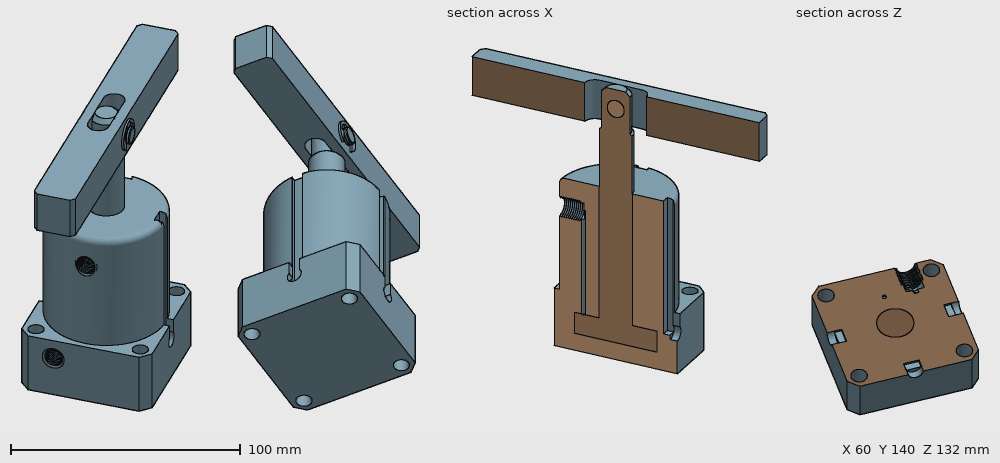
import cadquery as cq
import math


BASE_SIDE = 60.0
BASE_HEIGHT = 28.3
BASE_CORNER = 4.5
MOUNT_SPACING = 48.0
MOUNT_DIAMETER = 7.0
BARREL_DIAMETER = 55.0
BARREL_TOP = 83.0
BARREL_FILLET = 3.0

SLOT_ANGLES = (0, 90, 180)
SLOT_MOUTH_WIDTH = 5.2
SLOT_INNER_WIDTH = 6.9
SLOT_LIP_RADIUS = 26.6
SLOT_FLOOR_RADIUS = 23.4
SLOT_BOTTOM_Z = 18.2
SLOT_ENTRY_Z = 19.6

PORT_MAJOR_DIAMETER = 10.1
PORT_MINOR_DIAMETER = 8.1
PORT_BOTTOM_Y = -15.7
THREAD_PITCH = 1.0
THREAD_GROOVES = 11
LOWER_PORT_X = -14.0
LOWER_PORT_Z = 19.0
UPPER_PORT_Z = 68.7
PILOT_DIAMETER = 2.0
PILOT_DEPTH = 2.0
CHANNEL_DIAMETER = 1.5
CHANNEL_TOP = 69.3

PISTON_DIAMETER = 40.0
PISTON_HEIGHT = 10.0
PISTON_TOP = 18.5
ROD_DIAMETER = 16.0
SHOULDER_CHAMFER = 1.0
TONGUE_DIAMETER = ROD_DIAMETER - 2 * SHOULDER_CHAMFER
TONGUE_CHAMFER = 2.1

LEVER_LENGTH = 140.0
LEVER_SIDE = 19.0
LEVER_TOP = 132.0
LEVER_CORNER = 2.0
LEVER_SLOT_LENGTH = 30.0
LEVER_SLOT_WIDTH = 9.5
LEVER_BOTTOM = LEVER_TOP - LEVER_SIDE
SHOULDER_GAP = 1.0
SHOULDER_Z = LEVER_BOTTOM - SHOULDER_GAP
TONGUE_TOP = LEVER_TOP

PIVOT_Z = LEVER_TOP - LEVER_SIDE / 2
PIN_DIAMETER = 8.0
PIN_LENGTH = 24.0
PIN_CHAMFER = 0.4
CLIP_THICKNESS = 1.0
CLIP_DIAMETER = 14.1
CLIP_BORE = 7.3
CLIP_RELIEF_RADIUS = 5.6
RELIEF_START_ANGLE = 5
RELIEF_END_ANGLE = 71


def x_cylinder(diameter, x_start, length, z):
    """Cylinder along +X starting at x_start."""
    return (
        cq.Workplane("YZ", origin=(x_start, 0, z))
        .circle(diameter / 2)
        .extrude(length)
    )


def slot_box(x_near, x_far, width, z_bottom):
    """Box on the +X side from z_bottom to the barrel top, between two distances from the axis."""
    length = x_far - x_near
    return (
        cq.Workplane("XY", origin=(x_near + length / 2, 0, z_bottom))
        .rect(length, width)
        .extrude(BARREL_TOP - z_bottom)
    )


def t_slot(angle):
    """T-slot cutter: wide inner channel, narrow mouth and round entry hole in the base."""
    base_face = BASE_SIDE / 2
    inner = slot_box(SLOT_FLOOR_RADIUS, SLOT_LIP_RADIUS, SLOT_INNER_WIDTH, SLOT_BOTTOM_Z)
    mouth = slot_box(SLOT_LIP_RADIUS, base_face, SLOT_MOUTH_WIDTH, SLOT_ENTRY_Z)
    entry = x_cylinder(SLOT_INNER_WIDTH, SLOT_LIP_RADIUS, base_face - SLOT_LIP_RADIUS, z=SLOT_ENTRY_Z)
    return inner.union(mouth).union(entry).rotate((0, 0, 0), (0, 0, 1), angle)


def threaded_port(x, z, mouth_y):
    """Port cutter along +Y: V-shaped thread grooves from the mouth down to a flat bottom."""
    minor = PORT_MINOR_DIAMETER / 2
    major = PORT_MAJOR_DIAMETER / 2
    profile = (
        cq.Workplane("XY", origin=(x, 0, z))
        .moveTo(0, mouth_y)
        .lineTo(major, mouth_y)
        .lineTo(minor, mouth_y + THREAD_PITCH / 2)
    )
    for groove in range(1, THREAD_GROOVES):
        groove_y = mouth_y + groove * THREAD_PITCH
        profile = profile.lineTo(major, groove_y)
        profile = profile.lineTo(minor, groove_y + THREAD_PITCH / 2)
    profile = profile.lineTo(minor, PORT_BOTTOM_Y).lineTo(0, PORT_BOTTOM_Y).close()
    return profile.revolve(360, (0, 0, 0), (0, 1, 0))


def make_housing():
    base = (
        cq.Workplane("XY")
        .rect(BASE_SIDE, BASE_SIDE)
        .extrude(BASE_HEIGHT)
        .edges("|Z")
        .chamfer(BASE_CORNER)
    )
    mount_holes = (
        cq.Workplane("XY")
        .rect(MOUNT_SPACING, MOUNT_SPACING, forConstruction=True)
        .vertices()
        .circle(MOUNT_DIAMETER / 2)
        .extrude(BASE_HEIGHT)
    )
    barrel = (
        cq.Workplane("XY")
        .circle(BARREL_DIAMETER / 2)
        .extrude(BARREL_TOP)
        .faces(">Z")
        .edges()
        .fillet(BARREL_FILLET)
    )
    housing = base.union(barrel).cut(mount_holes)

    for angle in SLOT_ANGLES:
        housing = housing.cut(t_slot(angle))

    chamber = (
        cq.Workplane("XY", origin=(0, 0, PISTON_TOP - PISTON_HEIGHT))
        .circle(PISTON_DIAMETER / 2)
        .extrude(PISTON_HEIGHT)
    )
    rod_bore = (
        cq.Workplane("XY", origin=(0, 0, PISTON_TOP))
        .circle(ROD_DIAMETER / 2)
        .extrude(BARREL_TOP - PISTON_TOP)
    )
    housing = housing.cut(chamber).cut(rod_bore)

    pilot = (
        cq.Workplane("XZ", origin=(LOWER_PORT_X, PORT_BOTTOM_Y, LOWER_PORT_Z))
        .circle(PILOT_DIAMETER / 2)
        .extrude(-PILOT_DEPTH)
    )
    lower_port = threaded_port(LOWER_PORT_X, LOWER_PORT_Z, -BASE_SIDE / 2)
    housing = housing.cut(lower_port).cut(pilot)

    channel = (
        cq.Workplane("XY", origin=(0, PORT_BOTTOM_Y, PISTON_TOP))
        .circle(CHANNEL_DIAMETER / 2)
        .extrude(CHANNEL_TOP - PISTON_TOP)
    )
    upper_port = threaded_port(0, UPPER_PORT_Z, -BARREL_DIAMETER / 2)
    return housing.cut(upper_port).cut(channel)


def make_piston_rod():
    piston = (
        cq.Workplane("XY", origin=(0, 0, PISTON_TOP - PISTON_HEIGHT))
        .circle(PISTON_DIAMETER / 2)
        .extrude(PISTON_HEIGHT)
    )
    shaft = (
        cq.Workplane("XY", origin=(0, 0, PISTON_TOP))
        .circle(ROD_DIAMETER / 2)
        .extrude(SHOULDER_Z - PISTON_TOP)
        .faces(">Z")
        .chamfer(SHOULDER_CHAMFER)
    )
    tongue_height = TONGUE_TOP - SHOULDER_Z
    flats = (
        cq.Workplane("XY", origin=(0, 0, SHOULDER_Z))
        .rect(LEVER_SLOT_WIDTH, TONGUE_DIAMETER)
        .extrude(tongue_height)
    )
    tongue = (
        cq.Workplane("XY", origin=(0, 0, SHOULDER_Z))
        .circle(TONGUE_DIAMETER / 2)
        .extrude(tongue_height)
        .faces(">Z")
        .chamfer(TONGUE_CHAMFER)
        .intersect(flats)
    )
    pin_hole = x_cylinder(PIN_DIAMETER, -LEVER_SIDE / 2, LEVER_SIDE, z=PIVOT_Z)
    return piston.union(shaft).union(tongue).cut(pin_hole)


def make_lever():
    bar = (
        cq.Workplane("XY", origin=(0, 0, LEVER_BOTTOM))
        .rect(LEVER_SIDE, LEVER_LENGTH)
        .extrude(LEVER_SIDE)
        .edges("|Z")
        .chamfer(LEVER_CORNER)
    )
    slot = (
        cq.Workplane("XY", origin=(0, 0, LEVER_BOTTOM))
        .slot2D(LEVER_SLOT_LENGTH, LEVER_SLOT_WIDTH, 90)
        .extrude(LEVER_SIDE)
    )
    pin_hole = x_cylinder(PIN_DIAMETER, -LEVER_SIDE / 2, LEVER_SIDE, z=PIVOT_Z)
    return bar.cut(slot).cut(pin_hole)


def make_pin():
    pin = x_cylinder(PIN_DIAMETER, -PIN_LENGTH / 2, PIN_LENGTH, z=PIVOT_Z)
    pin = pin.faces("<X or >X").chamfer(PIN_CHAMFER)
    for side in (-1, 1):
        groove_x = side * LEVER_SIDE / 2
        groove_width = side * CLIP_THICKNESS
        ring = x_cylinder(CLIP_DIAMETER, groove_x, groove_width, z=PIVOT_Z)
        core = x_cylinder(CLIP_BORE, groove_x, groove_width, z=PIVOT_Z)
        pin = pin.cut(ring.cut(core))
    return pin


def make_clip(side):
    """E-clip lying against one lever face, open towards -Z."""
    plane = cq.Workplane("YZ", origin=(side * LEVER_SIDE / 2, 0, PIVOT_Z))
    thickness = side * CLIP_THICKNESS
    disc = plane.circle(CLIP_DIAMETER / 2).extrude(thickness)
    bore = plane.circle(CLIP_BORE / 2).extrude(thickness)
    opening = (
        plane.center(0, -CLIP_DIAMETER / 2)
        .rect(CLIP_BORE, CLIP_DIAMETER)
        .extrude(thickness)
    )
    clip = disc.cut(bore).cut(opening)

    middle_angle = (RELIEF_START_ANGLE + RELIEF_END_ANGLE) / 2
    for hand in (-1, 1):
        arc_points = []
        for angle in (RELIEF_START_ANGLE, middle_angle, RELIEF_END_ANGLE):
            y = hand * CLIP_RELIEF_RADIUS * math.cos(math.radians(angle))
            z = CLIP_RELIEF_RADIUS * math.sin(math.radians(angle))
            arc_points.append((y, z))
        relief = (
            plane.moveTo(0, 0)
            .lineTo(*arc_points[0])
            .threePointArc(arc_points[1], arc_points[2])
            .close()
            .extrude(thickness)
        )
        clip = clip.cut(relief)
    return clip


housing = make_housing()
piston_rod = make_piston_rod()
lever = make_lever()
pin = make_pin()
clips = [make_clip(side) for side in (-1, 1)]

result = cq.Compound.makeCompound(
    [housing.val(), piston_rod.val(), lever.val(), pin.val(), *[clip.val() for clip in clips]]
)